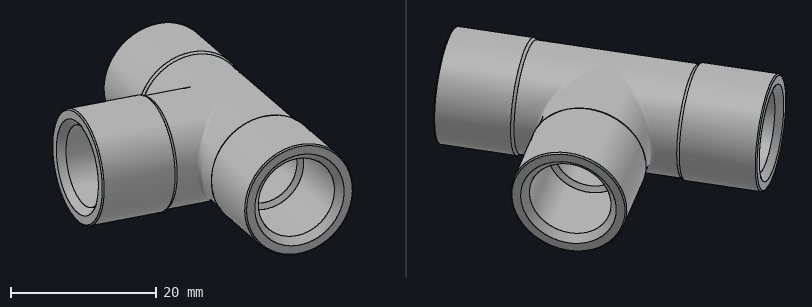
import math

import cadquery as cq

REACH = 23.0
BODY_DIAMETER = 16.0
CROTCH_RADIUS = 0.5

COLLAR_DIAMETER = 16.5
COLLAR_LENGTH = 11.0
SHOULDER_ANGLE = 30.0
RIM_CHAMFER = 0.2

BORE_DIAMETER = 10.0
SOCKET_DIAMETER = 11.6
SOCKET_DEPTH = 11.0
SOCKET_FLOOR_ANGLE = 60.0
MOUTH_CHAMFER = 1.0

COLLAR_START = REACH - COLLAR_LENGTH
SHOULDER_HEIGHT = (COLLAR_DIAMETER - BODY_DIAMETER) / 2
BODY_REACH = COLLAR_START - SHOULDER_HEIGHT / math.tan(math.radians(SHOULDER_ANGLE))

RIGHT = (1, 0, 0)
LEFT = (-1, 0, 0)
BRANCH = (0, -1, 0)
PORTS = [RIGHT, LEFT, BRANCH]


def revolve_about(direction, profile):
    """Turn a closed (radius, distance) profile about an axis running out from the origin."""
    axis = cq.Vector(*direction)
    radial = cq.Vector(0, 0, 1)
    half_section = cq.Plane(origin=(0, 0, 0), xDir=radial, normal=radial.cross(axis))
    return cq.Workplane(half_section).polyline(profile).close().revolve(360, (0, 0, 0), (0, 1, 0))


def make_body():
    """Plain run and branch pipes of equal diameter, blended along their mitre edges."""
    radius = BODY_DIAMETER / 2
    run = cq.Workplane("YZ").circle(radius).extrude(BODY_REACH, both=True)
    branch = cq.Workplane("XZ").circle(radius).extrude(BODY_REACH)
    return run.union(branch).edges("%ELLIPSE").fillet(CROTCH_RADIUS)


def make_collar(direction):
    """Thicker end of a pipe, with a conical shoulder and a chamfered rim."""
    radius = COLLAR_DIAMETER / 2
    return revolve_about(direction, [
        (0, BODY_REACH),
        (BODY_DIAMETER / 2, BODY_REACH),
        (radius, COLLAR_START),
        (radius, REACH - RIM_CHAMFER),
        (radius - RIM_CHAMFER, REACH),
        (0, REACH),
    ])


def make_passage(direction):
    """Bore from the origin, widening through a conical floor to the socket and its mouth."""
    bore_radius = BORE_DIAMETER / 2
    socket_radius = SOCKET_DIAMETER / 2
    floor_length = (socket_radius - bore_radius) / math.tan(math.radians(SOCKET_FLOOR_ANGLE))
    socket_floor = REACH - SOCKET_DEPTH
    return revolve_about(direction, [
        (0, 0),
        (bore_radius, 0),
        (bore_radius, socket_floor - floor_length),
        (socket_radius, socket_floor),
        (socket_radius, REACH - MOUTH_CHAMFER),
        (socket_radius + MOUTH_CHAMFER, REACH),
        (0, REACH),
    ])


result = make_body()
for port in PORTS:
    result = result.union(make_collar(port))
for port in PORTS:
    result = result.cut(make_passage(port))